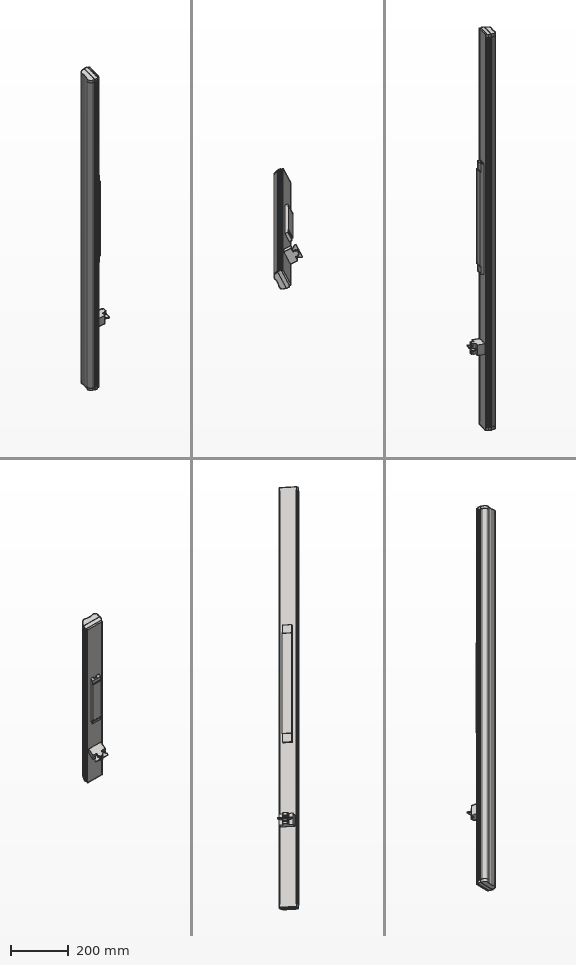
import cadquery as cq
import math

TOTAL_WIDTH = 67.0
TOTAL_DEPTH = 87.58
TOTAL_LENGTH = 1499.3

RAIL_DEPTH = 40.5
CORNER_DEPTH = 11.5
TAPER_START_Y = 18.0
TAPER_INSET = 1.2
SHOULDER_Y = 31.0
BACK_STEP_Y = 34.5
BACK_WIDTH = 60.0

CHANNEL_FLOOR_WIDTH = 10.4
CHANNEL_LIP_WIDTH = 35.0
CHANNEL_SLOPE = 15.0
CHANNEL_EASE_WIDTH = 3.4

FIN_PITCH = 3.0
FIN_GROOVE_WIDTH = 1.5
FIN_GROOVE_DEPTH = 1.2
FIRST_GROOVE_Y = 18.5
GROOVES_PER_SIDE = 7

CAP_LENGTH = 12.0
CAP_SPLIT_Y = 20.5
CAP_FRONT_INSET = 1.4
CAP_STEP = 0.5

COVER_WIDTH = 33.0
COVER_TOP_Z = 255.0
COVER_LENGTH = 418.0
COVER_LOW_Y = 51.5
COVER_HIGH_Y = 55.0
COVER_STEP_LENGTH = 30.0
CABLE_NOTCH_WIDTH = 10.0
CABLE_NOTCH_TOP_Y = 46.0
CABLE_NOTCH_LENGTH = 12.0

BRACKET_WIDTH = 50.0
BRACKET_HEIGHT = 40.0
BRACKET_CENTRE_Z = -443.0
BRACKET_BASE_Y = 68.5
NECK_WIDTH = 36.0
NECK_END_Y = 73.0
FLANGE_Y = 82.0
HOOK_THICKNESS = 4.0
WEB_WIDTH = 20.0
WEB_END_Y = 79.0
PRONG_WIDTH = 14.0
PRONG_END_Y = 84.0
MIDDLE_PRONG_HEIGHT = 14.0
PRONG_GAP = 4.0


def channel_half():
    """Points of one channel wall on the +X side, from the lip down to the floor."""
    lip = CHANNEL_LIP_WIDTH / 2
    floor = CHANNEL_FLOOR_WIDTH / 2
    wall_outer = lip - CHANNEL_EASE_WIDTH
    wall_inner = floor + CHANNEL_EASE_WIDTH
    ease_drop = CHANNEL_EASE_WIDTH * math.tan(math.radians(CHANNEL_SLOPE / 2))
    wall_drop = (wall_outer - wall_inner) * math.tan(math.radians(CHANNEL_SLOPE))
    return [
        (lip, 0),
        (wall_outer, ease_drop),
        (wall_inner, ease_drop + wall_drop),
        (floor, 2 * ease_drop + wall_drop),
    ]


def front_outline(half_width, y_back):
    """Open sketch from one side, over the channelled front face, to the other side."""
    corner_x = half_width - TAPER_INSET
    lip = CHANNEL_LIP_WIDTH / 2

    run = corner_x - lip
    radius = (run**2 + CORNER_DEPTH**2) / (2 * CORNER_DEPTH)
    half_sweep = math.atan2(CORNER_DEPTH, run)
    arc_x = lip + radius * math.sin(half_sweep)
    arc_y = radius * (1 - math.cos(half_sweep))

    right_wall = channel_half()
    left_wall = [(-x, y) for x, y in right_wall]
    sketch = (
        cq.Workplane("XY")
        .moveTo(-half_width, y_back)
        .lineTo(-half_width, TAPER_START_Y)
        .lineTo(-corner_x, CORNER_DEPTH)
        .threePointArc((-arc_x, arc_y), (-lip, 0))
    )
    for x, y in left_wall[1:] + right_wall[::-1]:
        sketch = sketch.lineTo(x, y)
    return (
        sketch
        .threePointArc((arc_x, arc_y), (corner_x, CORNER_DEPTH))
        .lineTo(half_width, TAPER_START_Y)
        .lineTo(half_width, y_back)
    )


def rail_outline():
    """Full closed cross-section with the sloped shoulders and the narrower back."""
    half_back = BACK_WIDTH / 2
    return (
        front_outline(TOTAL_WIDTH / 2, SHOULDER_Y)
        .lineTo(half_back, BACK_STEP_Y)
        .lineTo(half_back, RAIL_DEPTH)
        .lineTo(-half_back, RAIL_DEPTH)
        .lineTo(-half_back, BACK_STEP_Y)
        .close()
    )


def box(width, y_start, y_end, z_low, z_high):
    """Block centred on x = 0 between the given y and z limits."""
    size_y = y_end - y_start
    size_z = z_high - z_low
    return (
        cq.Workplane("XY")
        .box(width, size_y, size_z, centered=(True, False, False))
        .translate((0, y_start, z_low))
    )


def half_width_at(y):
    """Half the rail width at depth y, behind the rounded corners."""
    if y <= SHOULDER_Y:
        return TOTAL_WIDTH / 2
    if y >= BACK_STEP_Y:
        return BACK_WIDTH / 2
    slope = (TOTAL_WIDTH - BACK_WIDTH) / 2 / (BACK_STEP_Y - SHOULDER_Y)
    return TOTAL_WIDTH / 2 - slope * (y - SHOULDER_Y)


def rail():
    """Extruded rail between the end caps, with grooves forming the cooling fins."""
    length = TOTAL_LENGTH - 2 * CAP_LENGTH
    body = rail_outline().extrude(length / 2, both=True)
    for index in range(GROOVES_PER_SIDE):
        y_start = FIRST_GROOVE_Y + index * FIN_PITCH
        y_end = y_start + FIN_GROOVE_WIDTH
        core_width = 2 * (half_width_at(y_end) - FIN_GROOVE_DEPTH)
        groove = box(TOTAL_WIDTH, y_start, y_end, -length / 2, length / 2).cut(
            box(core_width, y_start, y_end, -length / 2, length / 2)
        )
        body = body.cut(groove)
    return body


def top_cap():
    """End cap on the upper end: a tall middle, a narrower front part and a lower back lip."""
    z_base = TOTAL_LENGTH / 2 - CAP_LENGTH
    low_length = CAP_LENGTH - CAP_STEP
    z_step = z_base + low_length
    z_end = TOTAL_LENGTH / 2

    back = rail_outline().extrude(CAP_LENGTH).translate((0, 0, z_base))
    back = back.cut(box(TOTAL_WIDTH, 0, CAP_SPLIT_Y, z_base, z_end))
    back = back.cut(box(TOTAL_WIDTH, BACK_STEP_Y, RAIL_DEPTH, z_step, z_end))

    front_half_width = TOTAL_WIDTH / 2 - CAP_FRONT_INSET
    front = front_outline(front_half_width, CAP_SPLIT_Y).close()
    return back.union(front.extrude(low_length).translate((0, 0, z_base)))


def cover():
    """Stepped cover on the back with a cable notch at its upper end."""
    z_low = COVER_TOP_Z - COVER_LENGTH
    step = COVER_STEP_LENGTH
    low = box(COVER_WIDTH, RAIL_DEPTH, COVER_LOW_Y, z_low, COVER_TOP_Z)
    high = box(COVER_WIDTH, COVER_LOW_Y, COVER_HIGH_Y, z_low + step, COVER_TOP_Z - step)
    notch = box(
        CABLE_NOTCH_WIDTH, RAIL_DEPTH, CABLE_NOTCH_TOP_Y, COVER_TOP_Z - CABLE_NOTCH_LENGTH, COVER_TOP_Z
    )
    return low.union(high).cut(notch)


def bracket():
    """Mounting block carrying a thin flared hook and a narrow web that ends in three prongs."""
    half_height = BRACKET_HEIGHT / 2
    half_flange = BRACKET_WIDTH / 2
    half_neck = NECK_WIDTH / 2
    left_side = [
        (-half_neck, BRACKET_BASE_Y),
        (-half_neck, NECK_END_Y),
        (-half_flange, FLANGE_Y),
        (-half_flange, TOTAL_DEPTH),
    ]
    right_side = [(-x, y) for x, y in reversed(left_side)]
    hook = cq.Workplane("XY").polyline(left_side + right_side).close()
    hook = hook.extrude(HOOK_THICKNESS / 2, both=True)

    web = box(WEB_WIDTH, BRACKET_BASE_Y, WEB_END_Y, -half_height, half_height)
    middle_half = MIDDLE_PRONG_HEIGHT / 2
    outer_start = middle_half + PRONG_GAP
    prong_spans = [
        (-half_height, -outer_start),
        (-middle_half, middle_half),
        (outer_start, half_height),
    ]
    for z_low, z_high in prong_spans:
        web = web.union(box(PRONG_WIDTH, WEB_END_Y, PRONG_END_Y, z_low, z_high))

    block = box(BRACKET_WIDTH, RAIL_DEPTH, BRACKET_BASE_Y, -half_height, half_height)
    return block.union(web).union(hook).translate((0, 0, BRACKET_CENTRE_Z))


upper_cap = top_cap()
lower_cap = upper_cap.mirror("XY")

result = rail().union(upper_cap).union(lower_cap).union(cover()).union(bracket())